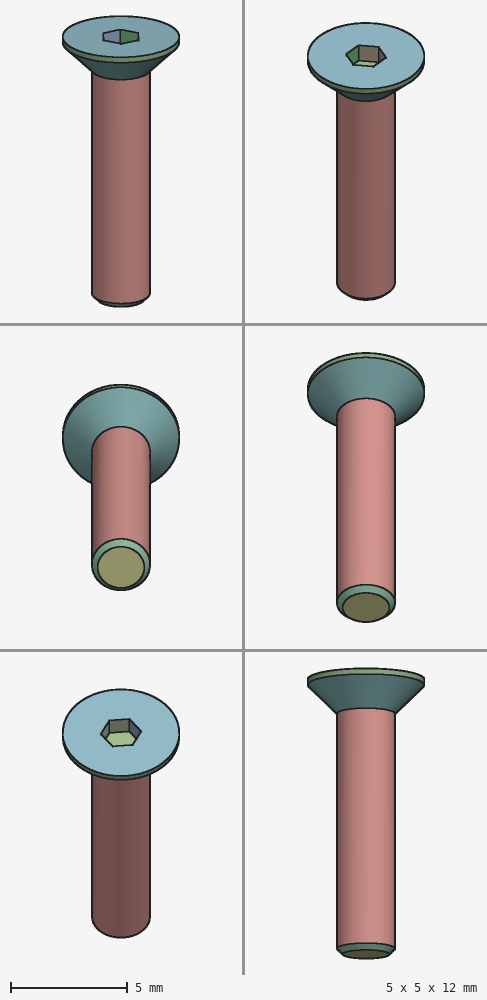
import cadquery as cq
import math

total_length = 12.0
head_diameter = 5.0
shank_diameter = 2.5
head_rim_height = 0.25
tip_chamfer = 0.25
socket_across_flats = 1.5
socket_depth = 0.8

head_radius = head_diameter / 2
shank_radius = shank_diameter / 2
cone_height = head_radius - shank_radius


def screw_body():
    """Revolve the half profile of head, shank and tip about the Z axis."""
    head_bottom = -head_rim_height - cone_height
    return (
        cq.Workplane("XZ")
        .moveTo(0, 0)
        .lineTo(head_radius, 0)
        .lineTo(head_radius, -head_rim_height)
        .lineTo(shank_radius, head_bottom)
        .lineTo(shank_radius, -total_length + tip_chamfer)
        .lineTo(shank_radius - tip_chamfer, -total_length)
        .lineTo(0, -total_length)
        .close()
        .revolve(360, (0, 0), (0, 1))
    )


def hex_socket():
    """Blind hexagonal prism with two corners on the X axis."""
    across_corners = socket_across_flats / math.cos(math.pi / 6)
    return cq.Workplane("XY").polygon(6, across_corners).extrude(-socket_depth)


result = screw_body().cut(hex_socket())